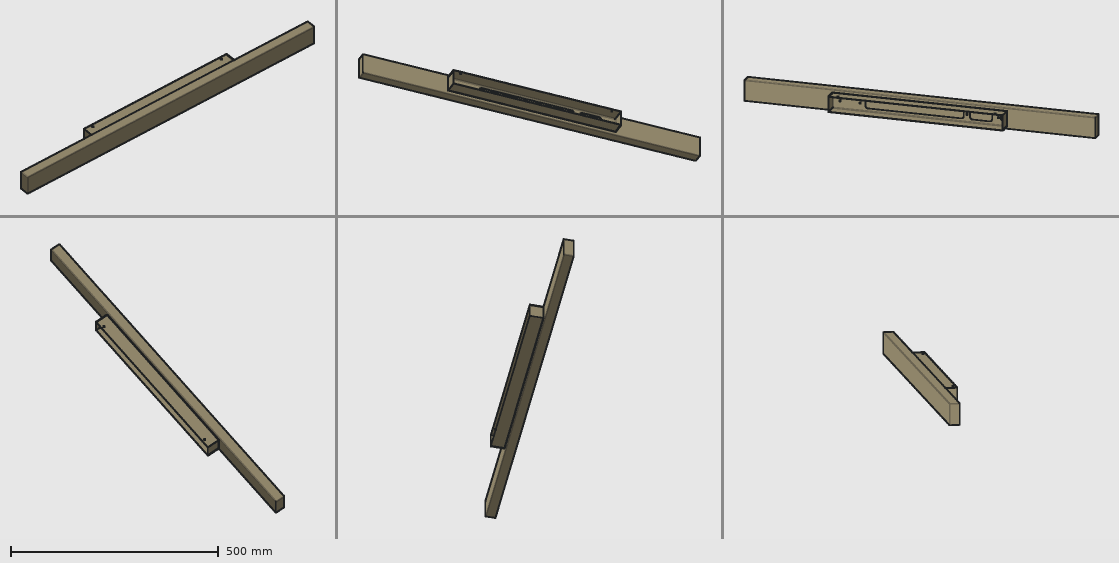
import cadquery as cq

OVERALL_DEPTH = 60.0
BAR_LENGTH = 888.0
BAR_HEIGHT = 54.0
BAR_DEPTH = 26.0
BAR_EDGE_RADIUS = 1.5
HOUSING_DEPTH = OVERALL_DEPTH - BAR_DEPTH
RIM_X = -OVERALL_DEPTH / 2
JOINT_X = RIM_X + HOUSING_DEPTH

HOUSING_LENGTH = 442.0
HOUSING_HEIGHT = 40.0
SHEET = 1.3
BEND_RADIUS = 2.2

WINDOW_HEIGHT = 24.0
WINDOW_CORNER_RADIUS = 6.0
WINDOW_ENDS = [(-111.0, 138.0), (-183.0, -127.0)]
SCREW_HOLE_DIAMETER = 3.5
FLOOR_SCREW_Y = [-199.0, -119.0, 151.0, 202.0]
CABLE_HOLE_DIAMETER = 13.0
CABLE_HOLE_Y = -211.0

WALL_SCREW_Y = 199.0
WALL_SCREW_INSET = 7.0


def make_bar():
    """Solid bar with every edge rounded except the two upright edges on its -X face."""
    bar = cq.Workplane("XY").box(BAR_DEPTH, BAR_LENGTH, BAR_HEIGHT)
    bar = bar.edges("not(|Z and <X)").fillet(BAR_EDGE_RADIUS)
    return bar.translate((JOINT_X + BAR_DEPTH / 2, 0, 0))


def make_tray():
    """Thin-walled tray with bent edges around its floor."""
    tray = cq.Workplane("YZ", origin=(RIM_X, 0, 0)).rect(HOUSING_LENGTH, HOUSING_HEIGHT).extrude(HOUSING_DEPTH)
    tray = tray.faces(">X").edges().fillet(BEND_RADIUS)
    return tray.faces("<X").shell(-SHEET)


def floor_plane():
    """Inner face of the tray floor, with local x along +Y and local y along +Z."""
    return cq.Workplane("YZ", origin=(JOINT_X - SHEET, 0, 0))


def floor_window(low_y, high_y):
    """Cutter for one rounded rectangular window in the floor."""
    window = floor_plane().center((low_y + high_y) / 2, 0).rect(high_y - low_y, WINDOW_HEIGHT).extrude(SHEET)
    return window.edges("|X").fillet(WINDOW_CORNER_RADIUS)


def floor_holes(diameter, y_positions):
    """Cutter for round holes on the centre line of the floor."""
    points = [(y, 0) for y in y_positions]
    return floor_plane().pushPoints(points).circle(diameter / 2).extrude(SHEET)


def wall_screw_holes():
    """Cutter for one screw hole near each end of the upper wall, close to the rim."""
    points = [(RIM_X + WALL_SCREW_INSET, side * WALL_SCREW_Y) for side in (-1, 1)]
    return cq.Workplane("XY").pushPoints(points).circle(SCREW_HOLE_DIAMETER / 2).extrude(HOUSING_HEIGHT)


def make_housing():
    housing = make_tray()
    for low_y, high_y in WINDOW_ENDS:
        housing = housing.cut(floor_window(low_y, high_y))
    housing = housing.cut(floor_holes(SCREW_HOLE_DIAMETER, FLOOR_SCREW_Y))
    housing = housing.cut(floor_holes(CABLE_HOLE_DIAMETER, [CABLE_HOLE_Y]))
    return housing.cut(wall_screw_holes())


bar = make_bar()
housing = make_housing()
result = cq.Compound.makeCompound([bar.val(), housing.val()])